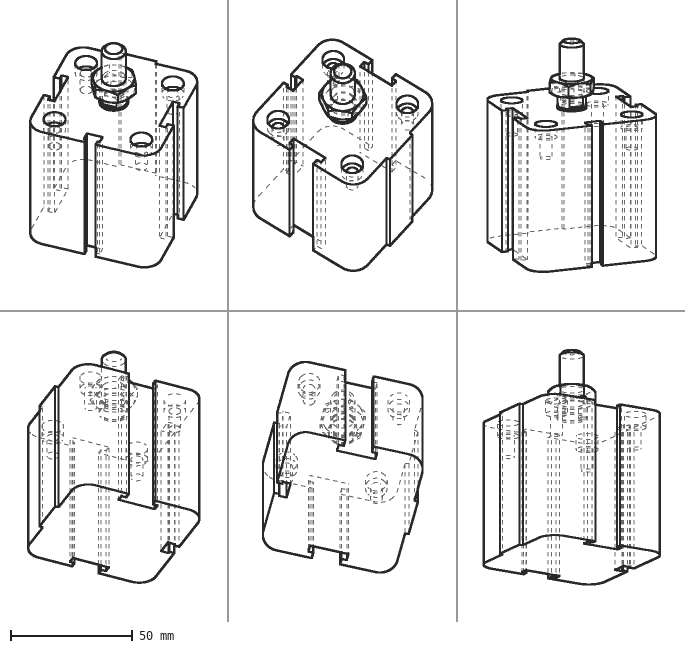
import cadquery as cq
import math


OVERALL_HEIGHT = 89.0

BODY_SIDE = 57.0
BODY_HEIGHT = 60.5
CORNER_RADIUS = 7.5
RAIL_BASE_WIDTH = 16.0
RAIL_TOP_WIDTH = 15.5
RAIL_HEIGHT = 1.5

SLOT_DEPTH = 5.5
SIDE_SLOT_MOUTH = 12.0
SIDE_SLOT_WIDTH = 16.3
SIDE_SLOT_LIP = 2.7
FRONT_SLOT_MOUTH = 4.9
FRONT_SLOT_WIDTH = 6.8
FRONT_SLOT_LIP = 2.2

HOLE_SPACING = 38.0
HOLE_DIAMETER = 4.9
HOLE_DEPTH = 14.6
COUNTERBORE_DIAMETER = 9.0
COUNTERBORE_DEPTH = 5.6

COLLAR_DIAMETER = 12.0
NECK_DIAMETER = 11.7
STUD_DIAMETER = 10.0
COLLAR_HEIGHT = 0.9
NECK_LENGTH = 5.6
NECK_CHAMFER = 0.5
STUD_CHAMFER = 1.4
WRENCH_FLAT_DISTANCE = STUD_DIAMETER
WRENCH_FLAT_LIFT = 1.6

NUT_SIDES = 6
NUT_ACROSS_FLATS = 17.0
NUT_THICKNESS = 6.0
NUT_CHAMFER_ANGLE = 35.0

COLLAR_TOP = BODY_HEIGHT + COLLAR_HEIGHT
SHOULDER_Z = COLLAR_TOP + NECK_LENGTH


def t_slot(mouth, width, lip, depth, turn):
    """Return the void of a T-slot in the -Y side, turned about Z by the given angle."""
    outer = -BODY_SIDE / 2
    inner = outer + depth
    lip_back = outer + lip
    outline = [
        (-mouth / 2, outer),
        (-mouth / 2, lip_back),
        (-width / 2, lip_back),
        (-width / 2, inner),
        (width / 2, inner),
        (width / 2, lip_back),
        (mouth / 2, lip_back),
        (mouth / 2, outer),
    ]
    void = cq.Workplane("XY").polyline(outline).close().extrude(BODY_HEIGHT)
    return void.rotate((0, 0, 0), (0, 0, 1), turn)


def make_rail():
    """Return the low tapered rail along the +Y side."""
    foot = BODY_SIDE / 2
    crest = foot + RAIL_HEIGHT
    outline = [
        (-RAIL_BASE_WIDTH / 2, foot),
        (-RAIL_TOP_WIDTH / 2, crest),
        (RAIL_TOP_WIDTH / 2, crest),
        (RAIL_BASE_WIDTH / 2, foot),
    ]
    return cq.Workplane("XY").polyline(outline).close().extrude(BODY_HEIGHT)


def make_housing():
    """Return the rounded square housing with its rail, T-slots and mounting holes."""
    housing = (
        cq.Workplane("XY")
        .box(BODY_SIDE, BODY_SIDE, BODY_HEIGHT, centered=(True, True, False))
        .edges("|Z")
        .fillet(CORNER_RADIUS)
    )
    housing = housing.union(make_rail())

    for turn in (90, -90):
        side_slot = t_slot(SIDE_SLOT_MOUTH, SIDE_SLOT_WIDTH, SIDE_SLOT_LIP, SLOT_DEPTH, turn)
        housing = housing.cut(side_slot)
    front_slot = t_slot(FRONT_SLOT_MOUTH, FRONT_SLOT_WIDTH, FRONT_SLOT_LIP, SLOT_DEPTH, 0)
    housing = housing.cut(front_slot)

    return (
        housing.faces(">Z")
        .workplane(origin=(0, 0, BODY_HEIGHT))
        .rarray(HOLE_SPACING, HOLE_SPACING, 2, 2)
        .cboreHole(HOLE_DIAMETER, COUNTERBORE_DIAMETER, COUNTERBORE_DEPTH, HOLE_DEPTH)
    )


def make_rod():
    """Return the rod end: chamfered collar, neck with two wrench flats, and stud."""
    collar_radius = COLLAR_DIAMETER / 2
    neck_radius = NECK_DIAMETER / 2
    stud_radius = STUD_DIAMETER / 2
    collar_chamfer = collar_radius - neck_radius
    half_profile = [
        (0, BODY_HEIGHT),
        (collar_radius, BODY_HEIGHT),
        (collar_radius, COLLAR_TOP - collar_chamfer),
        (neck_radius, COLLAR_TOP),
        (neck_radius, SHOULDER_Z - NECK_CHAMFER),
        (neck_radius - NECK_CHAMFER, SHOULDER_Z),
        (stud_radius, SHOULDER_Z),
        (stud_radius, OVERALL_HEIGHT - STUD_CHAMFER),
        (stud_radius - STUD_CHAMFER, OVERALL_HEIGHT),
        (0, OVERALL_HEIGHT),
    ]
    rod = cq.Workplane("XZ").polyline(half_profile).close().revolve(360, (0, 0), (0, 1))

    flat_bottom = BODY_HEIGHT + WRENCH_FLAT_LIFT
    for side in (-1, 1):
        flat_cut = (
            cq.Workplane("XY", origin=(0, side * WRENCH_FLAT_DISTANCE / 2, flat_bottom))
            .rect(COLLAR_DIAMETER, COLLAR_DIAMETER)
            .extrude(SHOULDER_Z - flat_bottom)
            .translate((0, side * COLLAR_DIAMETER / 2, 0))
        )
        rod = rod.cut(flat_cut)
    return rod


def make_nut():
    """Return the hex nut, with its corners chamfered at both ends by a cone."""
    across_corners = NUT_ACROSS_FLATS / math.cos(math.pi / NUT_SIDES)
    face_radius = NUT_ACROSS_FLATS / 2
    corner_radius = across_corners / 2
    corner_drop = (corner_radius - face_radius) * math.tan(math.radians(NUT_CHAMFER_ANGLE))
    nut_top = SHOULDER_Z + NUT_THICKNESS

    hexagon = (
        cq.Workplane("XY", origin=(0, 0, SHOULDER_Z))
        .polygon(NUT_SIDES, across_corners)
        .extrude(NUT_THICKNESS)
    )
    half_envelope = [
        (0, SHOULDER_Z),
        (face_radius, SHOULDER_Z),
        (corner_radius, SHOULDER_Z + corner_drop),
        (corner_radius, nut_top - corner_drop),
        (face_radius, nut_top),
        (0, nut_top),
    ]
    envelope = cq.Workplane("XZ").polyline(half_envelope).close().revolve(360, (0, 0), (0, 1))
    bore = (
        cq.Workplane("XY", origin=(0, 0, SHOULDER_Z))
        .circle(STUD_DIAMETER / 2)
        .extrude(NUT_THICKNESS)
    )
    return hexagon.intersect(envelope).cut(bore)


housing = make_housing()
rod = make_rod()
nut = make_nut()

result = cq.Compound.makeCompound([housing.val(), rod.val(), nut.val()])